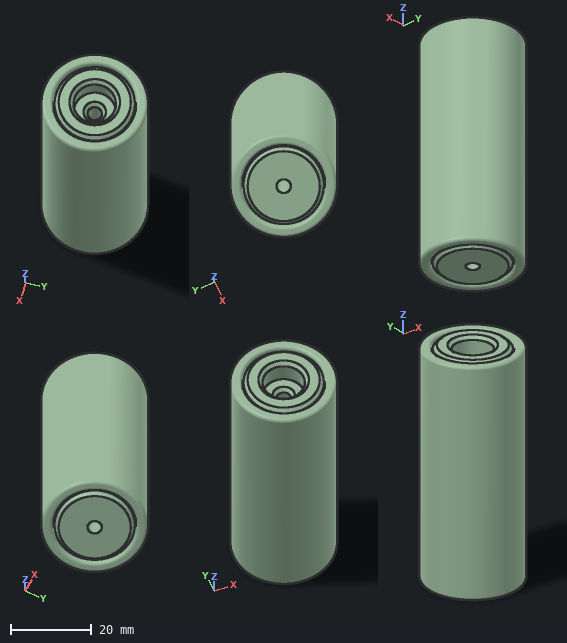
import cadquery as cq

length = 64.0
edge_break = 1.0
sleeve_diameter = 26.6
sleeve_bore_diameter = 20.6
core_diameter = 20.0
counterbore_diameter = 10.5
counterbore_depth = 6.0
through_hole_diameter = 3.5

counterbore_floor = length - counterbore_depth


def make_sleeve():
    """Outer tube with rounded inner and outer rims at both ends."""
    tube = (
        cq.Workplane("XY")
        .circle(sleeve_diameter / 2)
        .circle(sleeve_bore_diameter / 2)
        .extrude(length)
    )
    return tube.faces("<Z or >Z").edges().fillet(edge_break)


def countersunk_cutter(diameter, bottom, mouth):
    """Cylinder from bottom to mouth, flared by a 45 degree cone at the mouth."""
    radius = diameter / 2
    return (
        cq.Workplane("XZ")
        .moveTo(0, bottom)
        .lineTo(radius, bottom)
        .lineTo(radius, mouth - edge_break)
        .lineTo(radius + edge_break, mouth)
        .lineTo(0, mouth)
        .close()
        .revolve(360, (0, 0), (0, 1))
    )


def make_core():
    """Inner cylinder with chamfered ends, a counterbore on top and a through hole."""
    cylinder = cq.Workplane("XY").circle(core_diameter / 2).extrude(length)
    core = cylinder.faces("<Z or >Z").edges().chamfer(edge_break)
    counterbore = countersunk_cutter(counterbore_diameter, counterbore_floor, length)
    through_hole = countersunk_cutter(through_hole_diameter, 0, counterbore_floor)
    return core.cut(counterbore).cut(through_hole)


sleeve = make_sleeve()
core = make_core()

result = cq.Compound.makeCompound([sleeve.val(), core.val()])